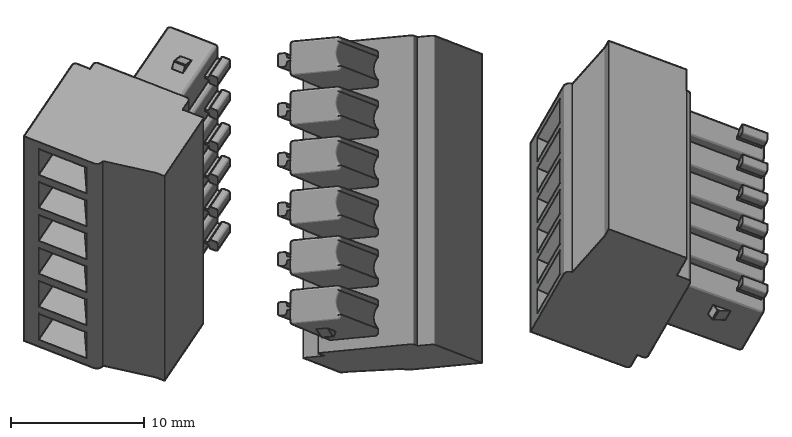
import cadquery as cq


width = 11.2
height = 23.65
housing_depth = 8.99
left_shoulder_x = 1.37
left_shoulder_y = 8.2
right_shoulder_x = 9.41
right_shoulder_y = 7.78
edge_radius = 0.28
right_corner_radius = 0.1
nose_radius = 0.52
nose_end_x = 6.4
slope_end_x = 10.5
slope_end_y = 1.3

pole_count = 6
pitch = 3.8
pole_heights = [(i - (pole_count - 1) / 2) * pitch for i in range(pole_count)]

funnel_left = 1.25
funnel_right = 5.3
funnel_height = 2.98
floor_left = 1.5
floor_right = 4.07
floor_height = 1.8
funnel_depth = 2.0

total_depth = 15.5
finger_left = 4.25
finger_right = 8.51
finger_root_height = 2.84
finger_tip_height = 2.67
finger_edge_radius = 0.28
finger_tip_radius = 0.24
finger_length = total_depth - housing_depth
groove_height = 1.8
groove_depth = 0.38

key_start_y = 13.15
key_end_y = 15.18
key_end_x = 9.63
key_shoulder_x = 8.9
key_neck_height = 0.24
key_head_height = 1.05
key_radius = 0.2

nub_left = 6.48
nub_right = 7.43
nub_front_y = 11.65
nub_peak_front_y = 12.05
nub_peak_back_y = 12.18
nub_back_y = 13.2
nub_peak_z = height / 2 - 0.47
nub_base_z = pole_heights[-1] + finger_tip_height / 2


def make_housing():
    outline = (
        cq.Workplane("XY", origin=(0, 0, -height / 2))
        .moveTo(0, 0)
        .lineTo(nose_end_x - nose_radius, 0)
        .radiusArc((nose_end_x, nose_radius), -nose_radius)
        .lineTo(slope_end_x, slope_end_y)
        .lineTo(width, slope_end_y)
        .lineTo(width, right_shoulder_y)
        .lineTo(right_shoulder_x, right_shoulder_y)
        .lineTo(right_shoulder_x, housing_depth)
        .lineTo(left_shoulder_x, housing_depth)
        .lineTo(left_shoulder_x, left_shoulder_y)
        .lineTo(0, left_shoulder_y)
        .close()
    )
    block = outline.extrude(height)
    rounded_corners = (
        (0, left_shoulder_y, edge_radius),
        (left_shoulder_x, housing_depth, edge_radius),
        (right_shoulder_x, housing_depth, edge_radius),
        (width, right_shoulder_y, right_corner_radius),
    )
    for x, y, radius in rounded_corners:
        block = block.edges(cq.NearestToPointSelector((x, y, 0))).fillet(radius)
    return block


def make_funnel(z):
    """Tapered wire entry, narrowing from the front face to its floor."""
    floor_shift = (floor_left + floor_right - funnel_left - funnel_right) / 2
    return (
        cq.Workplane("XZ", origin=((funnel_left + funnel_right) / 2, 0, z))
        .rect(funnel_right - funnel_left, funnel_height)
        .workplane(offset=-funnel_depth)
        .center(floor_shift, 0)
        .rect(floor_right - floor_left, floor_height)
        .loft(ruled=True)
    )


def make_finger(z):
    """Plug finger, tapered in height, with a hollow along its -X side."""
    root = finger_root_height / 2
    tip = finger_tip_height / 2
    side_outline = [
        (housing_depth, z - root),
        (total_depth, z - tip),
        (total_depth, z + tip),
        (housing_depth, z + root),
    ]
    finger = (
        cq.Workplane("YZ", origin=(finger_left, 0, 0))
        .polyline(side_outline)
        .close()
        .extrude(finger_right - finger_left)
    )
    finger = finger.edges("(not #Y) and (not |X) and (not |Z)").fillet(finger_edge_radius)
    groove = (
        cq.Workplane("XZ", origin=(finger_left, housing_depth, z))
        .moveTo(0, -groove_height / 2)
        .threePointArc((groove_depth, 0), (0, groove_height / 2))
        .close()
        .extrude(-finger_length)
    )
    return finger.cut(groove).faces(">Y").edges().fillet(finger_tip_radius)


def make_key(z):
    """Coding key: a T-shaped rail with every corner of its profile rounded."""
    neck = key_neck_height / 2
    head = key_head_height / 2
    neck_end_x = key_shoulder_x - key_radius
    head_start_x = key_shoulder_x + key_radius
    head_end_x = key_end_x - key_radius
    return (
        cq.Workplane("XZ", origin=(0, key_start_y, z))
        .moveTo(finger_right, -neck)
        .lineTo(neck_end_x, -neck)
        .radiusArc((key_shoulder_x, -neck - key_radius), key_radius)
        .lineTo(key_shoulder_x, key_radius - head)
        .radiusArc((head_start_x, -head), -key_radius)
        .lineTo(head_end_x, -head)
        .radiusArc((key_end_x, key_radius - head), -key_radius)
        .lineTo(key_end_x, head - key_radius)
        .radiusArc((head_end_x, head), -key_radius)
        .lineTo(head_start_x, head)
        .radiusArc((key_shoulder_x, head - key_radius), -key_radius)
        .lineTo(key_shoulder_x, neck + key_radius)
        .radiusArc((neck_end_x, neck), key_radius)
        .lineTo(finger_right, neck)
        .close()
        .extrude(key_start_y - key_end_y)
    )


def make_nub():
    """Latch nub on top of the uppermost finger."""
    profile = [
        (nub_front_y, nub_base_z),
        (nub_peak_front_y, nub_peak_z),
        (nub_peak_back_y, nub_peak_z),
        (nub_back_y, nub_base_z),
    ]
    return (
        cq.Workplane("YZ", origin=(nub_left, 0, 0))
        .polyline(profile)
        .close()
        .extrude(nub_right - nub_left)
    )


result = make_housing()
for pole_z in pole_heights:
    result = result.cut(make_funnel(pole_z))
    result = result.union(make_finger(pole_z))
    result = result.union(make_key(pole_z))

top_nub = make_nub()
result = result.union(top_nub).union(top_nub.mirror("XY"))